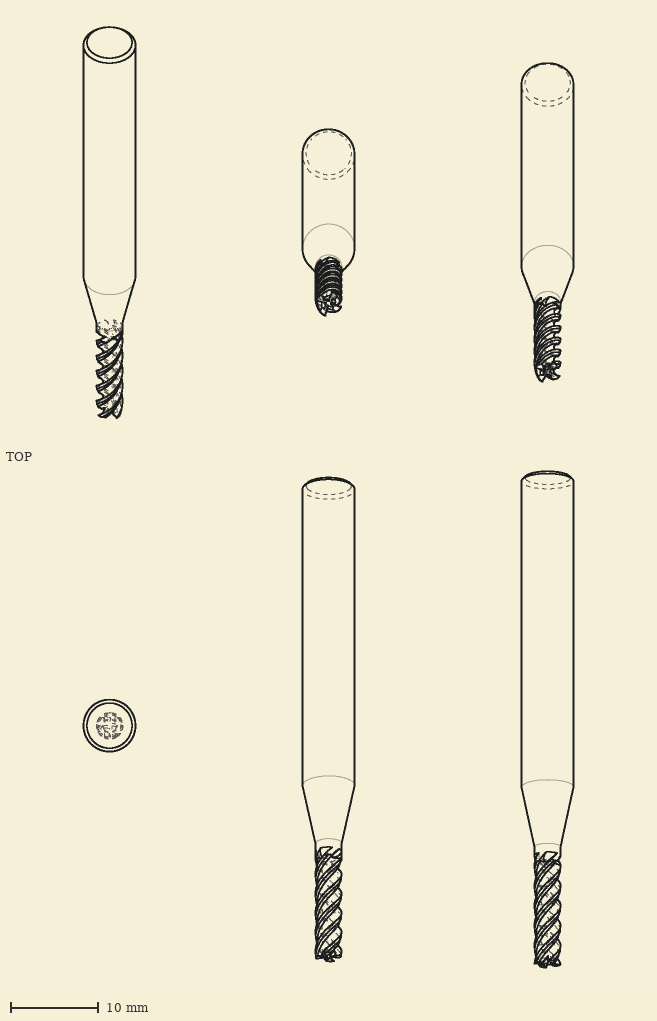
import cadquery as cq
import math

overall_length = 58.0
shank_radius = 6.0 / 2
cutter_radius = 3.0 / 2
cutter_length = 12.0
neck_top = 14.0
taper_top = 21.1
shank_chamfer = 0.4

flute_count = 4
flute_step = 360 / flute_count
helix_angle = 45.0
helix_pitch = 2 * math.pi * cutter_radius / math.tan(math.radians(helix_angle))
edge_angle = -5.0
core_radius = 0.75
land_radius = 1.45
land_span = 20.0
heel_radius = 1.3
heel_span = 38.0
flute_bottom_span = 70.0
runout_length = 1.6
runout_outer_radius = 2.1

gash_depth = 0.75
gash_width = 0.65
gash_inner_radius = 0.3


def polar(radius, angle):
    """Point at a radius and an angle in degrees."""
    turn = math.radians(angle)
    return radius * math.cos(turn), radius * math.sin(turn)


def twist_over(height):
    """Helix rotation, in degrees, over a height."""
    return 360 * height / helix_pitch


def make_fluted_bar():
    """Right-hand fluted bar over the whole cutting length."""
    section = cq.Workplane("XY").moveTo(*polar(cutter_radius, edge_angle))
    for tooth in range(flute_count):
        edge = edge_angle + tooth * flute_step
        section = (
            section
            .threePointArc(
                polar((cutter_radius + land_radius) / 2, edge + land_span / 2),
                polar(land_radius, edge + land_span),
            )
            .lineTo(*polar(heel_radius, edge + heel_span))
            .threePointArc(
                polar(core_radius, edge + flute_bottom_span),
                polar(cutter_radius, edge + flute_step),
            )
        )
    return section.close().twistExtrude(cutter_length, twist_over(cutter_length))


def make_cutter():
    """Fluted cutting length with a gash in front of every end tooth."""
    cutter = make_fluted_bar()
    gash = (
        cq.Workplane("YZ", origin=(gash_inner_radius, 0, 0))
        .polyline([(0, 0), (0, gash_depth), (-gash_width, 0)])
        .close()
        .extrude(cutter_radius)
    )
    for tooth in range(flute_count):
        angle = edge_angle + tooth * flute_step
        cutter = cutter.cut(gash.rotate((0, 0, 0), (0, 0, 1), angle))
    return cutter


def make_runout(tooth):
    """Tool that carries one flute on into the neck, its floor climbing along a cone."""
    edge = edge_angle + twist_over(cutter_length) + tooth * flute_step
    flute = (
        cq.Workplane("XY", origin=(0, 0, cutter_length))
        .moveTo(*polar(heel_radius, edge + heel_span))
        .threePointArc(
            polar(core_radius, edge + flute_bottom_span),
            polar(cutter_radius, edge + flute_step),
        )
        .lineTo(*polar(runout_outer_radius, edge + flute_step))
        .lineTo(*polar(runout_outer_radius, edge + heel_span))
        .close()
        .twistExtrude(runout_length, twist_over(runout_length))
    )
    floor_cone = (
        cq.Workplane("XZ")
        .polyline([
            (0, cutter_length),
            (core_radius, cutter_length),
            (runout_outer_radius, cutter_length + runout_length),
            (0, cutter_length + runout_length),
        ])
        .close()
        .revolve(360, (0, 0), (0, 1))
    )
    return flute.cut(floor_cone)


def make_shank():
    """Chamfered shank, taper and neck, with the flutes fading out in the neck."""
    shank = (
        cq.Workplane("YZ")
        .polyline([
            (0, cutter_length),
            (-cutter_radius, cutter_length),
            (-cutter_radius, neck_top),
            (-shank_radius, taper_top),
            (-shank_radius, overall_length - shank_chamfer),
            (-shank_radius + shank_chamfer, overall_length),
            (0, overall_length),
        ])
        .close()
        .revolve(360, (0, 0), (0, 1))
    )
    for tooth in range(flute_count):
        shank = shank.cut(make_runout(tooth))
    return shank


cutter = make_cutter()
shank = make_shank()
result = cq.Compound.makeCompound([shank.val(), cutter.val()])